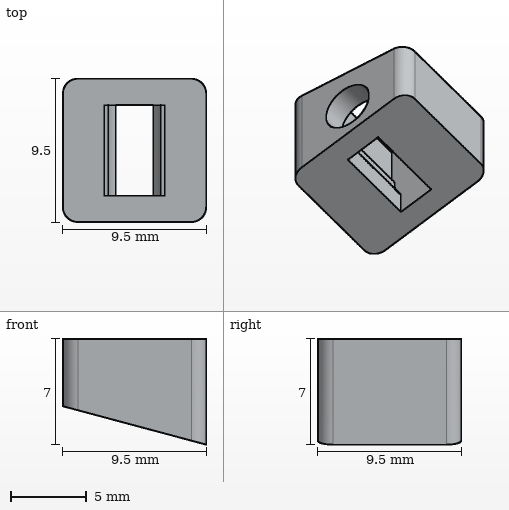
import cadquery as cq
import math

side = 9.5
height = 7.0
corner_radius = 1.0
base_angle = 15.0
base_rise = side * math.tan(math.radians(base_angle))

pocket_width = 4.0
pocket_length = 6.0
pocket_depth = 3.0

bore_diameter = 3.5
bore_axis_depth = 3.18

slot_width = 2.47


def make_body():
    """Rounded square block with a sloped underside, lowest at +X."""
    block = (
        cq.Workplane("XY")
        .rect(side, side)
        .extrude(height)
        .edges("|Z")
        .fillet(corner_radius)
    )
    underside_wedge = (
        cq.Workplane("XZ")
        .moveTo(-side / 2, 0)
        .lineTo(side / 2, 0)
        .lineTo(-side / 2, base_rise)
        .close()
        .extrude(side / 2, both=True)
    )
    return block.cut(underside_wedge)


def make_pocket():
    return (
        cq.Workplane("XY", origin=(0, 0, height - pocket_depth))
        .rect(pocket_width, pocket_length)
        .extrude(pocket_depth)
    )


def make_bore():
    bore_start = -pocket_length / 2
    return (
        cq.Workplane("XZ", origin=(0, bore_start, height - bore_axis_depth))
        .circle(bore_diameter / 2)
        .extrude(-(side / 2 - bore_start))
    )


def make_slot():
    return (
        cq.Workplane("XY")
        .rect(slot_width, pocket_length)
        .extrude(height - bore_axis_depth)
    )


result = make_body().cut(make_pocket()).cut(make_bore()).cut(make_slot())